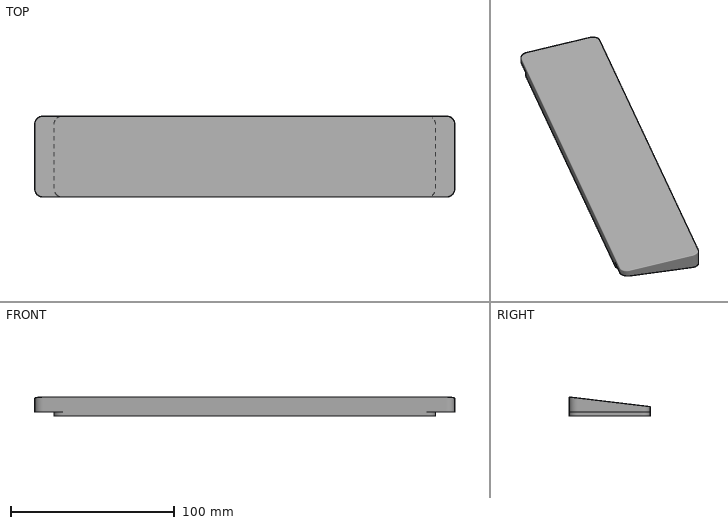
import cadquery as cq

length = 256.3
width = 49.5
front_height = 11.8
back_height = 6.0
corner_radius = 5.0
top_edge_fillet = 0.5

foot_height = 2.5
foot_end_inset = 11.8
foot_length = length - 2 * foot_end_inset


def rounded_slab(slab_length, bottom, top):
    """Slab of full width with rounded vertical corners."""
    return (
        cq.Workplane("XY")
        .workplane(offset=bottom)
        .rect(slab_length, width)
        .extrude(top - bottom)
        .edges("|Z")
        .fillet(corner_radius)
    )


def wedge():
    """Side profile that slopes down from front to back, spanning the full length."""
    return (
        cq.Workplane("YZ")
        .polyline([
            (-width / 2, 0),
            (width / 2, 0),
            (width / 2, back_height),
            (-width / 2, front_height),
        ])
        .close()
        .extrude(length / 2, both=True)
    )


body = rounded_slab(length, foot_height, front_height).intersect(wedge())
body = body.faces(">Z").edges().fillet(top_edge_fillet)

foot = rounded_slab(foot_length, 0, foot_height)

result = body.union(foot)